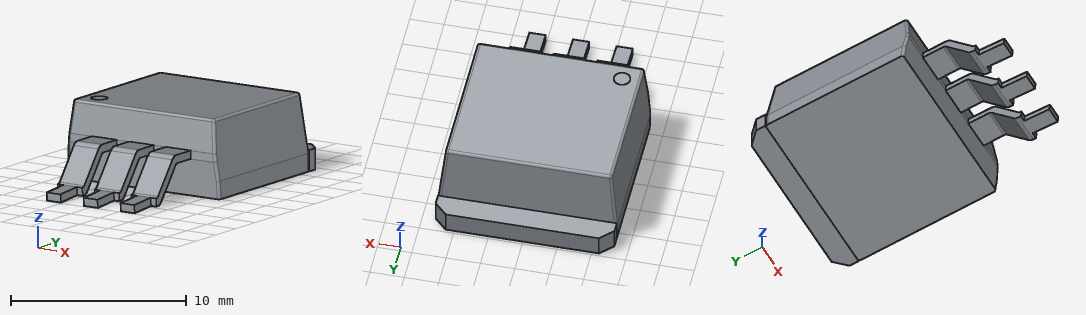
import cadquery as cq
import math


TOTAL_LENGTH = 15.85

WIDTH = 10.4
HOUSING_LENGTH = 9.34
HOUSING_HEIGHT = 4.63
DRAFT = math.tan(math.radians(6))
SIDE_BAND_HEIGHT = 1.1
EDGE_RADIUS = 0.16

TAB_LENGTH = 1.35
TAB_THICKNESS = 1.25
TAB_CHAMFER = 0.75

LEAD_COUNT = 3
LEAD_PITCH = 2.54
LEAD_WIDTH = 1.7
FOOT_WIDTH = 0.95
LEAD_THICKNESS = 0.49
LEAD_EXIT_HEIGHT = 2.44
UPPER_BEND_REACH = 1.58
LOWER_BEND_REACH = 3.23
LOWER_BEND_HEIGHT = 0.3
SHOULDER_REACH = 3.49
FOOT_ANGLE = math.radians(-4.5)
TIP_REACH = TOTAL_LENGTH - HOUSING_LENGTH - TAB_LENGTH + LEAD_THICKNESS / 2 * math.sin(FOOT_ANGLE)
UPPER_BEND_OUTER_RADIUS = 0.49
LOWER_BEND_OUTER_RADIUS = 0.4
BEND_INNER_RADIUS = 0.24

MARKER_RADIUS = 0.48
MARKER_DEPTH = 0.1
MARKER_X = -3.77
MARKER_Y = 1.28


def make_housing():
    """Block with drafted walls, rounded at its upright and top edges."""
    half_width = WIDTH / 2
    side_inset = (HOUSING_HEIGHT - SIDE_BAND_HEIGHT) * DRAFT
    band_bottom = LEAD_EXIT_HEIGHT - LEAD_THICKNESS / 2
    band_top = LEAD_EXIT_HEIGHT + LEAD_THICKNESS / 2

    cross_section = (
        cq.Workplane("XZ")
        .moveTo(-half_width, 0)
        .lineTo(half_width, 0)
        .lineTo(half_width, SIDE_BAND_HEIGHT)
        .lineTo(half_width - side_inset, HOUSING_HEIGHT)
        .lineTo(-half_width + side_inset, HOUSING_HEIGHT)
        .lineTo(-half_width, SIDE_BAND_HEIGHT)
        .close()
        .extrude(-HOUSING_LENGTH)
    )
    long_section = (
        cq.Workplane("YZ")
        .moveTo(band_bottom * DRAFT, 0)
        .lineTo(HOUSING_LENGTH, 0)
        .lineTo(HOUSING_LENGTH, SIDE_BAND_HEIGHT)
        .lineTo(HOUSING_LENGTH - side_inset, HOUSING_HEIGHT)
        .lineTo((HOUSING_HEIGHT - band_top) * DRAFT, HOUSING_HEIGHT)
        .lineTo(0, band_top)
        .lineTo(0, band_bottom)
        .close()
        .extrude(half_width, both=True)
    )
    block = cross_section.intersect(long_section)
    return block.edges("(not #Z) or >Z").fillet(EDGE_RADIUS)


def make_tab():
    """Plate fitted to the back wall of the housing, with its two outer corners cut off."""
    tab_end = HOUSING_LENGTH + TAB_LENGTH
    drafted_overhang = (TAB_THICKNESS - SIDE_BAND_HEIGHT) * DRAFT
    return (
        cq.Workplane("YZ")
        .moveTo(HOUSING_LENGTH, 0)
        .lineTo(tab_end, 0)
        .lineTo(tab_end, TAB_THICKNESS)
        .lineTo(HOUSING_LENGTH - drafted_overhang, TAB_THICKNESS)
        .lineTo(HOUSING_LENGTH, SIDE_BAND_HEIGHT)
        .close()
        .extrude(WIDTH / 2, both=True)
        .edges("|Z and >Y")
        .chamfer(TAB_CHAMFER)
    )


def make_marker():
    """Disc set flush into the top face."""
    return (
        cq.Workplane("XY", origin=(MARKER_X, MARKER_Y, HOUSING_HEIGHT - MARKER_DEPTH))
        .circle(MARKER_RADIUS)
        .extrude(MARKER_DEPTH)
    )


def strip_point(station, side):
    """Mitred (Y, Z) point on the upper (side = 1) or lower (side = -1) face of a lead.

    A station is the reach and height of the mid-thickness line, and its angle before and after.
    """
    reach, height, angle_before, angle_after = station
    normal_tilt = (angle_before + angle_after) / 2
    offset = side * LEAD_THICKNESS / 2 / math.cos((angle_after - angle_before) / 2)
    return offset * math.sin(normal_tilt) - reach, height + offset * math.cos(normal_tilt)


def make_strip(x, stations, width):
    """Flat strip of constant thickness that follows the stations, with sharp bends."""
    upper = [strip_point(station, 1) for station in stations]
    lower = [strip_point(station, -1) for station in reversed(stations)]
    outline = cq.Workplane("YZ", origin=(x, 0, 0)).polyline(upper + lower).close()
    return outline.extrude(width / 2, both=True)


def round_bend(strip, x, point, radius):
    """Round the edge across the strip that passes through a (Y, Z) point."""
    return strip.edges(cq.selectors.NearestToPointSelector((x, *point))).fillet(radius)


def make_lead(x):
    """Wide strip bent down from the housing, then a narrow foot that tilts slightly down."""
    slope_angle = math.atan2(LOWER_BEND_HEIGHT - LEAD_EXIT_HEIGHT, LOWER_BEND_REACH - UPPER_BEND_REACH)

    def foot_station(reach):
        height = LOWER_BEND_HEIGHT + (reach - LOWER_BEND_REACH) * math.tan(FOOT_ANGLE)
        return reach, height, FOOT_ANGLE, FOOT_ANGLE

    housing_end = (0, LEAD_EXIT_HEIGHT, 0, 0)
    upper_bend = (UPPER_BEND_REACH, LEAD_EXIT_HEIGHT, 0, slope_angle)
    lower_bend = (LOWER_BEND_REACH, LOWER_BEND_HEIGHT, slope_angle, FOOT_ANGLE)
    shoulder = foot_station(SHOULDER_REACH)
    tip = foot_station(TIP_REACH)

    lead = make_strip(x, [housing_end, upper_bend, lower_bend, shoulder], LEAD_WIDTH)
    lead = round_bend(lead, x, strip_point(upper_bend, 1), UPPER_BEND_OUTER_RADIUS)
    lead = round_bend(lead, x, strip_point(upper_bend, -1), BEND_INNER_RADIUS)
    lead = round_bend(lead, x, strip_point(lower_bend, 1), BEND_INNER_RADIUS)
    lead = round_bend(lead, x, strip_point(lower_bend, -1), LOWER_BEND_OUTER_RADIUS)
    return lead.union(make_strip(x, [shoulder, tip], FOOT_WIDTH))


marker = make_marker()
housing = make_housing().cut(marker)
tab = make_tab()
first_lead_x = -(LEAD_COUNT - 1) / 2 * LEAD_PITCH
leads = [make_lead(first_lead_x + i * LEAD_PITCH) for i in range(LEAD_COUNT)]

result = cq.Compound.makeCompound([housing.val(), tab.val(), marker.val(), *[lead.val() for lead in leads]])